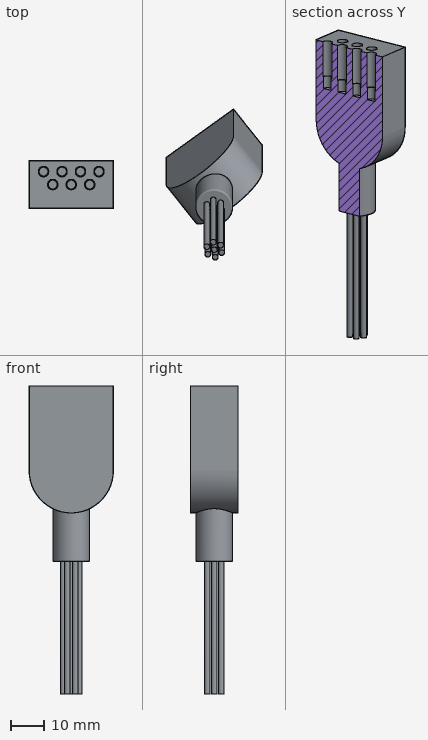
import cadquery as cq
import math

total_height = 92.8

block_width = 25.4
block_depth = 14.4
straight_height = 25.5
end_radius = block_width / 2
round_center_z = total_height - straight_height

sleeve_diameter = 11.1
sleeve_bottom_z = 39.9
sleeve_fillet = 0.5

wire_diameter = 1.8
wire_ring_radius = 2.4
ring_wire_count = 6

entry_diameter = 3.2
entry_depth = 11.1
bore_diameter = 2.7
bore_depth = 14.9
hole_pitch = 5.6
row_spacing = 3.9
back_row_count = 4
front_row_count = 3


def make_block():
    return (
        cq.Workplane("XZ")
        .moveTo(-end_radius, total_height)
        .lineTo(-end_radius, round_center_z)
        .threePointArc((0, round_center_z - end_radius), (end_radius, round_center_z))
        .lineTo(end_radius, total_height)
        .close()
        .extrude(block_depth / 2, both=True)
    )


def make_sleeve():
    return (
        cq.Workplane("XY", origin=(0, 0, sleeve_bottom_z))
        .circle(sleeve_diameter / 2)
        .extrude(round_center_z - sleeve_bottom_z)
        .faces("<Z")
        .edges()
        .fillet(sleeve_fillet)
    )


def make_wires():
    centers = [(0, 0)]
    for index in range(ring_wire_count):
        angle = index * 2 * math.pi / ring_wire_count
        centers.append((wire_ring_radius * math.cos(angle), wire_ring_radius * math.sin(angle)))
    return (
        cq.Workplane("XY")
        .pushPoints(centers)
        .circle(wire_diameter / 2)
        .extrude(round_center_z)
    )


def make_hole_row(count, row_y):
    first_x = -(count - 1) * hole_pitch / 2
    centers = [(first_x + index * hole_pitch, row_y) for index in range(count)]
    hole_starts = cq.Workplane("XY", origin=(0, 0, total_height)).pushPoints(centers)
    entries = hole_starts.circle(entry_diameter / 2).extrude(-entry_depth)
    bores = hole_starts.circle(bore_diameter / 2).extrude(-bore_depth)
    return entries.union(bores)


result = (
    make_block()
    .union(make_sleeve())
    .union(make_wires())
    .cut(make_hole_row(back_row_count, row_spacing))
    .cut(make_hole_row(front_row_count, 0))
)